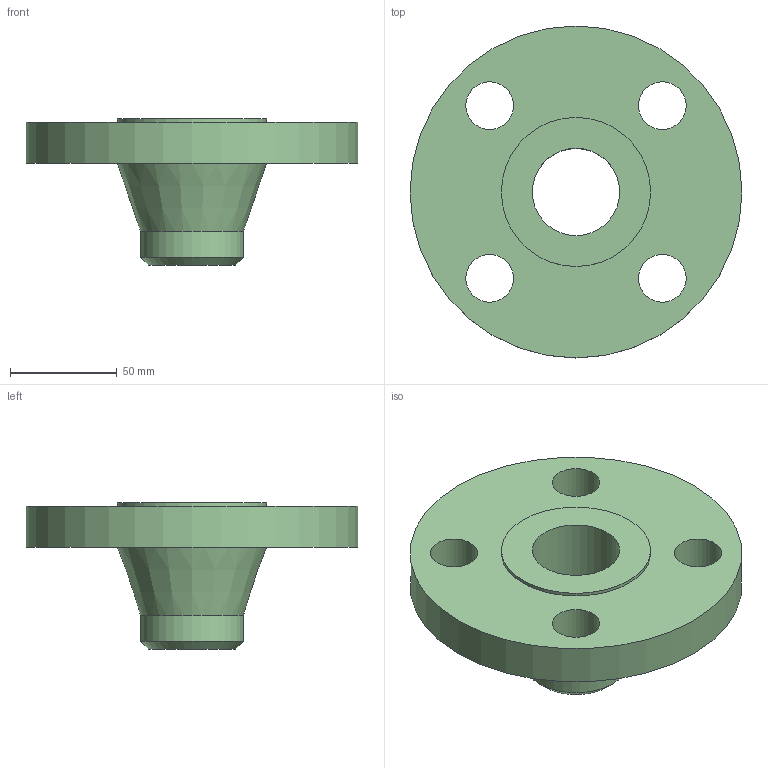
import cadquery as cq
import math

flange_diameter = 155.45
flange_thickness = 19.05
overall_height = 68.39

face_diameter = 69.85
face_height = 1.59

hub_base_diameter = 69.85
neck_diameter = 48.26
neck_length = 15.9
bore_diameter = 40.89

bevel_angle = 45.0

bolt_circle_diameter = 114.3
bolt_hole_diameter = 22.35
bolt_hole_count = 4
first_bolt_angle = 45.0

neck_end_z = 0.0
flange_top_z = overall_height - face_height
flange_bottom_z = flange_top_z - flange_thickness
hub_small_end_z = neck_end_z + neck_length

flange_radius = flange_diameter / 2
face_radius = face_diameter / 2
hub_base_radius = hub_base_diameter / 2
neck_radius = neck_diameter / 2
bore_radius = bore_diameter / 2
bevel_height = (neck_radius - bore_radius) * math.tan(math.radians(bevel_angle))


def make_body():
    """Flange, raised face, hub and neck turned about Z, with the through bore."""
    section = [
        (bore_radius, neck_end_z),
        (neck_radius, neck_end_z + bevel_height),
        (neck_radius, hub_small_end_z),
        (hub_base_radius, flange_bottom_z),
        (flange_radius, flange_bottom_z),
        (flange_radius, flange_top_z),
        (face_radius, flange_top_z),
        (face_radius, overall_height),
        (bore_radius, overall_height),
    ]
    return cq.Workplane("XZ").polyline(section).close().revolve(360, (0, 0), (0, 1))


def make_bolt_holes():
    """Cylinders evenly spaced on the bolt circle, spanning the flange thickness."""
    return (
        cq.Workplane("XY", origin=(0, 0, flange_bottom_z))
        .polarArray(bolt_circle_diameter / 2, first_bolt_angle, 360, bolt_hole_count)
        .circle(bolt_hole_diameter / 2)
        .extrude(flange_thickness)
    )


result = make_body().cut(make_bolt_holes())